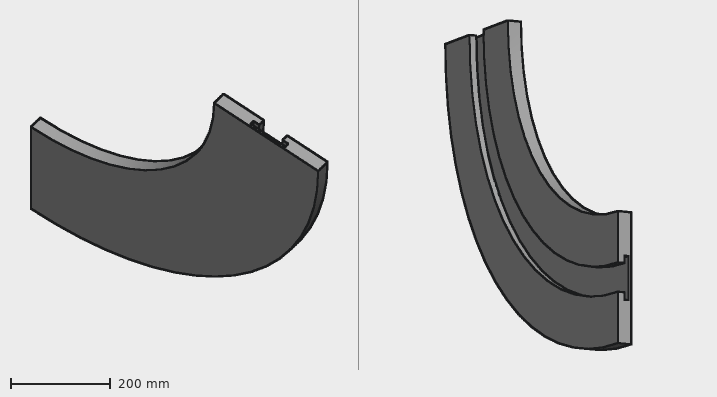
import cadquery as cq

outer_radius = 745.1
plate_width = 270.0
thickness = 30.0
bend_angle = 90.0

slot_mouth_width = 60.0
slot_head_width = 90.0
slot_floor = 6.0
slot_head_height = 9.0

mid_radius = outer_radius - plate_width / 2


def bend_section(width, y_start, y_end):
    """Sweep a rectangle centred on the mid radius from the +X axis down to the -Z axis."""
    height = y_end - y_start
    section = cq.Workplane("XY").center(mid_radius, y_start + height / 2).rect(width, height)
    return section.revolve(bend_angle, (-mid_radius, 0), (-mid_radius, 1))


def make_plate():
    return bend_section(plate_width, 0, thickness)


def make_slot():
    head = bend_section(slot_head_width, slot_floor, slot_floor + slot_head_height)
    mouth = bend_section(slot_mouth_width, slot_floor, thickness)
    return head.union(mouth)


result = make_plate().cut(make_slot())